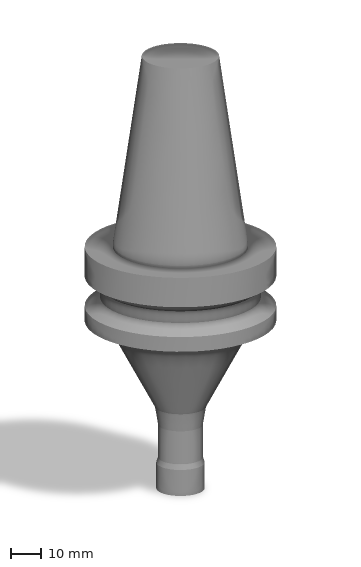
import cadquery as cq

total_height = 150.4
tip_collar_top = 9.0
shank_bottom = 10.8
shank_top = 22.3
neck_top = 28.6
cone_top = 56.2
flange_bottom = 58.4
lower_rim_top = 63.5
groove_bottom = 66.6
groove_top = 70.7
upper_rim_bottom = 73.8
flange_top = 84.0
taper_base = 85.0

tip_diameter = 16.0
shank_diameter = 14.7
neck_diameter = 16.8
cone_diameter = 46.6
flare_diameter = 54.7
flange_diameter = 63.0
groove_diameter = 53.0
taper_diameter = 44.5

taper_ratio = 7 / 24
taper_end_diameter = taper_diameter - taper_ratio * (total_height - taper_base)

profile = [
    (tip_diameter, 0),
    (tip_diameter, tip_collar_top),
    (shank_diameter, shank_bottom),
    (shank_diameter, shank_top),
    (neck_diameter, neck_top),
    (cone_diameter, cone_top),
    (flare_diameter, flange_bottom),
    (flange_diameter, flange_bottom),
    (flange_diameter, lower_rim_top),
    (groove_diameter, groove_bottom),
    (groove_diameter, groove_top),
    (flange_diameter, upper_rim_bottom),
    (flange_diameter, flange_top),
    (taper_diameter, flange_top),
    (taper_diameter, taper_base),
    (taper_end_diameter, total_height),
]

outline = cq.Workplane("XZ").moveTo(0, 0)
for diameter, height in profile:
    outline = outline.lineTo(diameter / 2, height)

result = outline.lineTo(0, total_height).close().revolve(360, (0, 0, 0), (0, 1, 0))